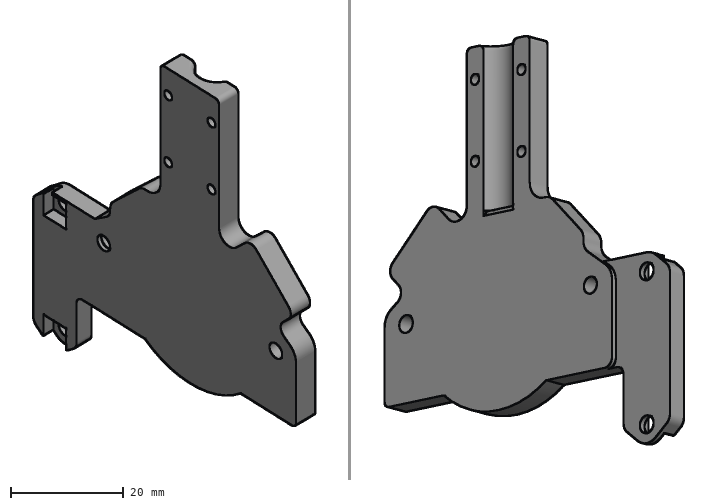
import cadquery as cq
import math


BODY_THICKNESS = 4.8
LEG_THICKNESS = 3.8

ARM_WIDTH = 15.0
ARM_TOP = 48.15
ARM_TIP_RADIUS = 1.0
ARM_HOLE_DIAMETER = 2.0
ARM_HOLE_PITCH_X = 11.05
ARM_HOLE_PITCH_Z = 15.0
ARM_HOLE_EDGE_GAP = 6.0

GROOVE_RADIUS = 4.0
GROOVE_AXIS_OFFSET = 2.0
GROOVE_ROUNDING = 1.0
GROOVE_END_CHAMFER = 1.0
GROOVE_END = 17.8

BODY_HALF_WIDTH = 27.1
BODY_UNDERSIDE_LEFT = -15.7
BODY_UNDERSIDE_RIGHT = -14.5
SHOULDER_HEIGHT = 2.1
SHOULDER_RADIUS = 3.7
SHOULDER_SLOPE = math.radians(35.5)
LEFT_STEP_X = -20.3
LEFT_STEP_RADIUS = 2.5
LEFT_LEDGE_HEIGHT = 17.8
LEFT_LEDGE_LENGTH = 4.8
LEFT_LEDGE_RADIUS = 3.3
NOTCH_RADIUS = 2.5
LOBE_RADIUS = 2.05
LOBE_TOP = (15.55, 21.3)
LOBE_WIDTH = 15.6
LOWER_LEFT_RADIUS = 1.7
LOWER_RIGHT_RADIUS = 1.0
BODY_HOLE_DIAMETER = 3.2
LEFT_HOLE_DIAMETER = 3.1
LEFT_HOLE_MOUTH_DEPTH = 0.95
BODY_HOLE_PITCH = 43.9

BELLY_RADIUS = 19.8
BELLY_BOTTOM = -19.3

LEG_LEFT = -39.9
LEG_WIDTH = 11.05
LEG_TIP_RADIUS = 3.5
LEG_SIDE_RADIUS = 2.05
LEG_INNER_RADIUS = 1.6
LEG_HOLE_DIAMETER = 3.2
LEG_LOWER_HOLE_Z = -27.3
LEG_HOLE_PITCH = 28.0
LEG_CENTRE = LEG_LEFT + LEG_WIDTH / 2
LEG_HOLES = [(LEG_CENTRE, LEG_LOWER_HOLE_Z + row * LEG_HOLE_PITCH) for row in (0, 1)]

POCKET_WIDTH = 5.8
POCKET_DEPTH = 2.5
RELIEF_OFFSET = 1.9
TOP_WALL_SETBACK = 0.7


def rounded_prism(corners, thickness):
    """Extrude a polygon of (x, z, radius) corners from the front face toward +Y."""
    path = None
    for i, (x, z, radius) in enumerate(corners):
        corner = cq.Vector(x, z)
        before = (cq.Vector(*corners[i - 1][:2]) - corner).normalized()
        after = (cq.Vector(*corners[(i + 1) % len(corners)][:2]) - corner).normalized()
        half_angle = before.getAngle(after) / 2
        reach = radius / math.tan(half_angle)
        apex_gap = radius / math.sin(half_angle) - radius
        start = corner + before * reach
        if path is None:
            path = cq.Workplane("XZ").moveTo(start.x, start.y)
        else:
            path = path.lineTo(start.x, start.y)
        if radius > 0:
            middle = corner + (before + after).normalized() * apex_gap
            end = corner + after * reach
            path = path.threePointArc((middle.x, middle.y), (end.x, end.y))
    return path.close().extrude(-thickness)


def drill(points, diameter, depth=BODY_THICKNESS):
    """Holes along Y from the front face at the given (x, z) points."""
    return cq.Workplane("XZ").pushPoints(points).circle(diameter / 2).extrude(-depth)


def make_body():
    """Full-thickness body and arm; both shoulders share one slope."""
    arm_half = ARM_WIDTH / 2
    slope = math.tan(SHOULDER_SLOPE)

    step_z = SHOULDER_HEIGHT + slope * (BODY_HALF_WIDTH + LEFT_STEP_X)
    flank_z = LEFT_LEDGE_HEIGHT - (-arm_half - LEFT_LEDGE_LENGTH - LEFT_STEP_X)

    lobe_x, lobe_z = LOBE_TOP
    notch_z = lobe_z - (lobe_x - arm_half)
    lobe_run = LOBE_WIDTH / math.sqrt(2)
    lobe_right_x = lobe_x + lobe_run
    lobe_right_z = lobe_z - lobe_run
    shoulder_z = SHOULDER_HEIGHT + slope * (BODY_HALF_WIDTH - lobe_right_x)
    neck_run = (lobe_right_z - shoulder_z) / (1 + slope)

    corners = [
        (-arm_half, ARM_TOP, ARM_TIP_RADIUS),
        (arm_half, ARM_TOP, ARM_TIP_RADIUS),
        (arm_half, notch_z, NOTCH_RADIUS),
        (lobe_x, lobe_z, LOBE_RADIUS),
        (lobe_right_x, lobe_right_z, LOBE_RADIUS),
        (lobe_right_x - neck_run, lobe_right_z - neck_run, LOBE_RADIUS),
        (BODY_HALF_WIDTH, SHOULDER_HEIGHT, SHOULDER_RADIUS),
        (BODY_HALF_WIDTH, BODY_UNDERSIDE_RIGHT, LOWER_RIGHT_RADIUS),
        (0, BODY_UNDERSIDE_RIGHT, 0),
        (0, BODY_UNDERSIDE_LEFT, 0),
        (-BODY_HALF_WIDTH, BODY_UNDERSIDE_LEFT, LOWER_LEFT_RADIUS),
        (-BODY_HALF_WIDTH, SHOULDER_HEIGHT, SHOULDER_RADIUS),
        (LEFT_STEP_X, step_z, LEFT_STEP_RADIUS),
        (LEFT_STEP_X, flank_z, LEFT_STEP_RADIUS),
        (-arm_half - LEFT_LEDGE_LENGTH, LEFT_LEDGE_HEIGHT, LEFT_STEP_RADIUS),
        (-arm_half, LEFT_LEDGE_HEIGHT, LEFT_LEDGE_RADIUS),
    ]
    return rounded_prism(corners, BODY_THICKNESS)


def make_belly():
    """Lower part of a disc, kept below the right underside of the body."""
    disc = (
        cq.Workplane("XZ")
        .center(0, BELLY_BOTTOM + BELLY_RADIUS)
        .circle(BELLY_RADIUS)
        .extrude(-BODY_THICKNESS)
    )
    height = BODY_UNDERSIDE_RIGHT - BELLY_BOTTOM
    keep = cq.Workplane("XY").box(
        2 * BELLY_RADIUS, BODY_THICKNESS, height, centered=(True, False, False)
    ).translate((0, 0, BELLY_BOTTOM))
    return disc.intersect(keep)


def make_leg():
    """Thinner leg; its sloped ends run tangent to a round about each hole."""
    right = LEG_LEFT + LEG_WIDTH
    (_, low_z), (_, high_z) = LEG_HOLES
    slope = math.asin(LEG_TIP_RADIUS / (LEG_WIDTH / 2))
    tip = LEG_TIP_RADIUS / math.cos(slope)
    top = high_z + LEG_TIP_RADIUS
    top_x = LEG_CENTRE - LEG_TIP_RADIUS * math.tan(slope / 2)
    shoulder_x = -BODY_HALF_WIDTH + (top - SHOULDER_HEIGHT) / math.tan(SHOULDER_SLOPE)
    corners = [
        (LEG_LEFT, high_z, LEG_SIDE_RADIUS),
        (top_x, top, LEG_TIP_RADIUS),
        (shoulder_x, top, 0),
        (LEFT_STEP_X, BODY_UNDERSIDE_LEFT, 0),
        (right, BODY_UNDERSIDE_LEFT, LEG_INNER_RADIUS),
        (right, low_z, LEG_SIDE_RADIUS),
        (LEG_CENTRE, low_z - tip, LEG_TIP_RADIUS),
        (LEG_LEFT, low_z, LEG_SIDE_RADIUS),
    ]
    return rounded_prism(corners, LEG_THICKNESS)


def box_cut(x_range, z_range):
    """Box sunk POCKET_DEPTH into the front face."""
    left, right = x_range
    bottom, top = z_range
    box = cq.Workplane("XY").box(right - left, POCKET_DEPTH, top - bottom, centered=False)
    return box.translate((left, 0, bottom))


def make_pockets():
    """Nut pockets, with the thin wall ends next to the sloped leg ends cut away."""
    (_, low_z), (_, high_z) = LEG_HOLES
    half = POCKET_WIDTH / 2
    sides = (LEG_CENTRE - half, LEG_CENTRE + half)
    leg_sides = (LEG_LEFT, LEG_LEFT + LEG_WIDTH)
    tip_z = low_z - LEG_TIP_RADIUS
    top_z = high_z + LEG_TIP_RADIUS

    upper = box_cut(sides, (high_z - half, high_z + half))
    upper_relief = box_cut(
        (LEG_LEFT, LEG_CENTRE - TOP_WALL_SETBACK), (high_z + RELIEF_OFFSET, top_z)
    )
    lower = box_cut(sides, (tip_z, low_z + half))
    lower_relief = box_cut(leg_sides, (tip_z, low_z - RELIEF_OFFSET))
    return upper.union(upper_relief).union(lower).union(lower_relief)


def make_groove():
    """Round groove with a flared mouth at the arm tip and a chamfered flat end."""
    axis_y = BODY_THICKNESS + GROOVE_AXIS_OFFSET
    mouth = GROOVE_RADIUS + GROOVE_ROUNDING
    flare = GROOVE_ROUNDING * (1 - math.sqrt(0.5))
    bore = (
        cq.Workplane("XZ")
        .moveTo(0, GROOVE_END)
        .lineTo(GROOVE_RADIUS, GROOVE_END)
        .lineTo(GROOVE_RADIUS, ARM_TOP - GROOVE_ROUNDING)
        .threePointArc((GROOVE_RADIUS + flare, ARM_TOP - flare), (mouth, ARM_TOP))
        .lineTo(0, ARM_TOP)
        .close()
        .revolve(360, (0, 0, 0), (0, 1, 0))
        .translate((0, axis_y, 0))
    )
    chord = math.sqrt(GROOVE_RADIUS**2 - GROOVE_AXIS_OFFSET**2)
    ramp = (
        cq.Workplane("YZ")
        .moveTo(BODY_THICKNESS - GROOVE_END_CHAMFER, GROOVE_END)
        .lineTo(BODY_THICKNESS, GROOVE_END)
        .lineTo(BODY_THICKNESS, GROOVE_END - GROOVE_END_CHAMFER)
        .close()
        .extrude(chord, both=True)
    )
    return bore.union(ramp)


upper_hole_z = ARM_TOP - ARM_HOLE_EDGE_GAP
arm_holes = [
    (side * ARM_HOLE_PITCH_X / 2, upper_hole_z - row * ARM_HOLE_PITCH_Z)
    for side in (-1, 1)
    for row in (0, 1)
]
left_hole = [(-BODY_HOLE_PITCH / 2, 0)]
right_hole = [(BODY_HOLE_PITCH / 2, 0)]

result = (
    make_body()
    .union(make_belly())
    .union(make_leg())
    .cut(make_pockets())
    .cut(make_groove())
    .cut(drill(arm_holes, ARM_HOLE_DIAMETER))
    .cut(drill(right_hole, BODY_HOLE_DIAMETER))
    .cut(drill(left_hole, BODY_HOLE_DIAMETER, LEFT_HOLE_MOUTH_DEPTH))
    .cut(drill(left_hole, LEFT_HOLE_DIAMETER))
    .cut(drill(LEG_HOLES, LEG_HOLE_DIAMETER))
)